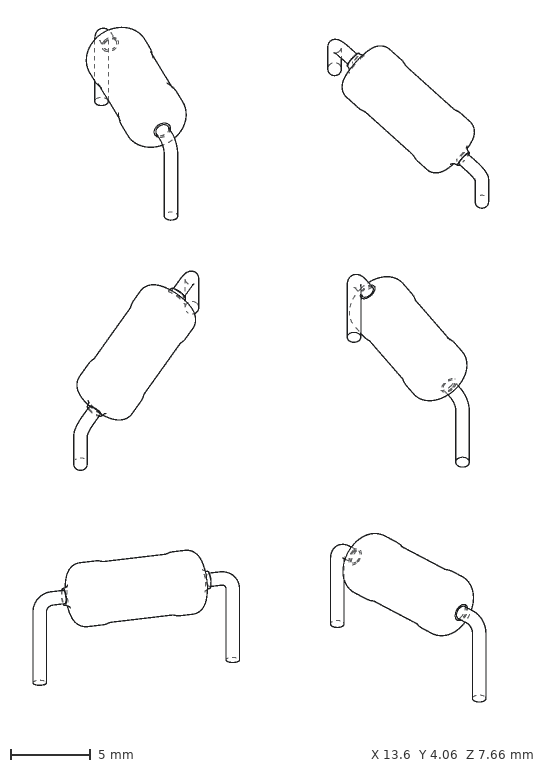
import cadquery as cq


lead_pitch = 12.7
lead_diameter = 0.86
bend_radius = 0.8
overall_height = 7.66

body_length = 8.52
cap_diameter = 4.06
barrel_diameter = 3.86
cap_edge_radius = 0.8
left_shoulder_start = 2.65
right_shoulder_start = 2.42
shoulder_length = 0.55

flare_tip_diameter = 1.1
flare_radius = 0.5

cap_radius = cap_diameter / 2
barrel_radius = barrel_diameter / 2
half_body = body_length / 2
flare_tip_radius = flare_tip_diameter / 2
flare_base_radius = flare_tip_radius + flare_radius
flare_tip_x = half_body + flare_radius
lead_x = lead_pitch / 2
axis_z = cap_radius
lead_bottom_z = cap_diameter - overall_height


def half_body_solid(side, shoulder_start):
    """Revolve one half of the body; side is -1 for left, +1 for right."""
    shoulder_middle = shoulder_start - shoulder_length / 2
    shoulder_end = shoulder_start - shoulder_length
    middle_radius = (cap_radius + barrel_radius) / 2

    profile = (
        cq.Workplane("XZ")
        .moveTo(0, 0)
        .lineTo(0, barrel_radius)
        .lineTo(side * shoulder_end, barrel_radius)
        .tangentArcPoint((side * shoulder_middle, middle_radius), relative=False)
        .tangentArcPoint((side * shoulder_start, cap_radius), relative=False)
        .lineTo(side * (half_body - cap_edge_radius), cap_radius)
        .tangentArcPoint((side * half_body, cap_radius - cap_edge_radius), relative=False)
        .lineTo(side * half_body, flare_base_radius)
        .radiusArc((side * flare_tip_x, flare_tip_radius), -side * flare_radius)
        .lineTo(side * flare_tip_x, 0)
        .close()
    )
    return profile.revolve(360, (0, 0, 0), (1, 0, 0)).translate((0, 0, axis_z))


def make_body():
    left_half = half_body_solid(-1, left_shoulder_start)
    right_half = half_body_solid(1, right_shoulder_start)
    return left_half.union(right_half).clean().solids()


def make_lead(side):
    """Round wire from the flare tip outward, then bent straight down."""
    path = (
        cq.Workplane("XZ")
        .moveTo(side * flare_tip_x, axis_z)
        .lineTo(side * (lead_x - bend_radius), axis_z)
        .tangentArcPoint((side * lead_x, axis_z - bend_radius), relative=False)
        .lineTo(side * lead_x, lead_bottom_z)
    )
    section = cq.Workplane("YZ", origin=(side * flare_tip_x, 0, axis_z)).circle(lead_diameter / 2)
    return section.sweep(path)


body = make_body()
leads = [make_lead(side) for side in (-1, 1)]

result = cq.Compound.makeCompound([body.val(), *[lead.val() for lead in leads]])